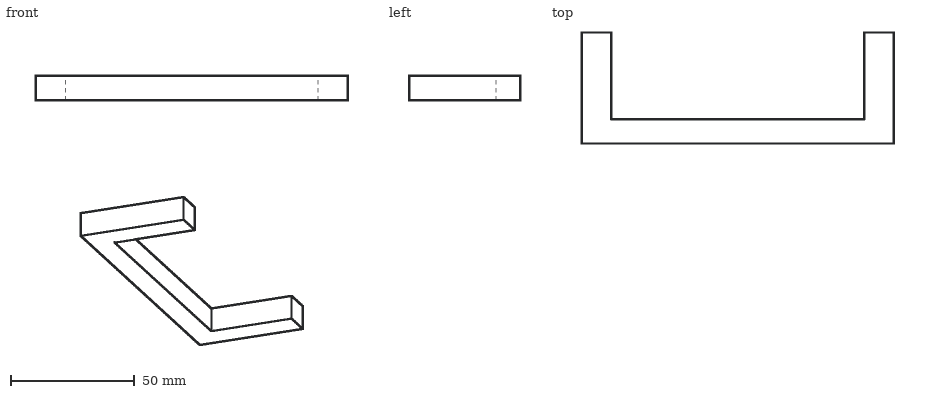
import cadquery as cq

length = 126.0
depth = 45.0
height = 10.0

grip_width = height
leg_width = 12.0

gap_length = length - 2 * leg_width
gap_depth = depth - grip_width

block = cq.Workplane("XY").box(length, depth, height, centered=(True, False, False))

gap = (
    cq.Workplane("XY")
    .box(gap_length, gap_depth, height, centered=(True, False, False))
    .translate((0, grip_width, 0))
)

result = block.cut(gap)